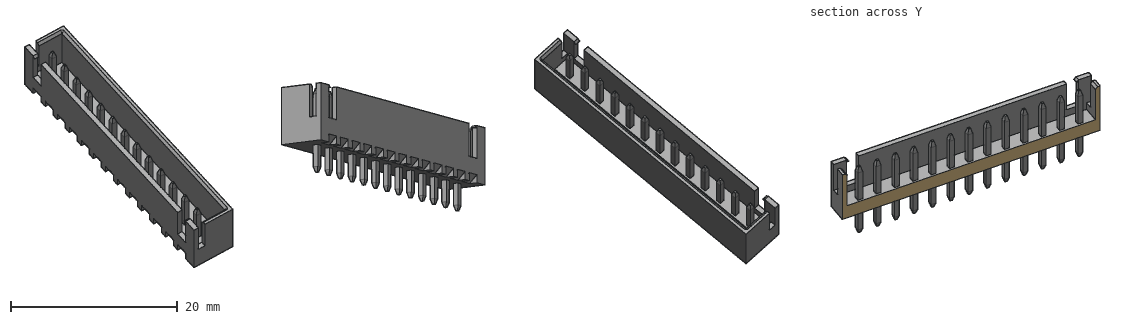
import cadquery as cq


length = 35.1
depth = 5.7
height = 7.0
end_wall = 0.65
front_wall = 0.65
back_wall = 0.7
floor_height = 1.95
rim_chamfer = 0.3

recess_depth = 0.65
recess_slope_run = 0.25
recess_from_back = 2.55

slot_depth = 4.0
front_slot_width = 1.65
end_slot_width = 0.95

nub_reach = 0.3
nub_height = 0.28

relief_height = 1.0
relief_width = 1.6
relief_run = 1.05

pin_count = 13
end_pin_inset = 2.55
pin_side = 0.65
pin_from_back = 3.4
pin_bottom = -3.3
pin_top = 6.9
bottom_taper = 0.63
top_taper = 0.7
tip_side = 0.28

end_x = length / 2
front_y = -depth / 2
back_y = depth / 2
cavity_x = end_x - end_wall
cavity_front_y = front_y + front_wall
cavity_back_y = back_y - back_wall
slot_floor_z = height - slot_depth
pin_y = back_y - pin_from_back
pitch = (length - 2 * end_pin_inset) / (pin_count - 1)
pin_xs = [-end_x + end_pin_inset + i * pitch for i in range(pin_count)]


def box(x0, x1, y0, y1, z0, z1):
    """Box between two opposite corners."""
    block = cq.Workplane("XY").box(x1 - x0, y1 - y0, z1 - z0, centered=False)
    return block.translate((x0, y0, z0))


def extrude_along_x(outline, width, x_center):
    """Extrude a (y, z) outline along X, centred on x_center."""
    solid = cq.Workplane("YZ").polyline(outline).close().extrude(width / 2, both=True)
    return solid.translate((x_center, 0, 0))


def make_cavity():
    return box(-cavity_x, cavity_x, cavity_front_y, cavity_back_y, floor_height, height)


def make_floor_recess():
    slope_bottom_y = back_y - recess_from_back
    recess_z = floor_height - recess_depth
    outline = [
        (slope_bottom_y - recess_slope_run, floor_height),
        (slope_bottom_y, recess_z),
        (cavity_back_y, recess_z),
        (cavity_back_y, floor_height),
    ]
    return extrude_along_x(outline, 2 * cavity_x, 0)


def make_rim_lead_in():
    """45 degree lead-in along the back and end walls; the front wall stays square."""
    flare = (
        cq.Workplane("XY", origin=(0, (cavity_front_y + cavity_back_y) / 2, height - rim_chamfer))
        .rect(2 * cavity_x, cavity_back_y - cavity_front_y)
        .extrude(rim_chamfer, taper=-45)
    )
    return flare.intersect(box(-end_x, end_x, cavity_front_y, back_y, 0, height))


def make_front_slot(x):
    half = front_slot_width / 2
    return box(x - half, x + half, front_y, cavity_front_y, slot_floor_z, height)


def make_end_slot(x0, x1):
    return box(x0, x1, cavity_front_y, cavity_front_y + end_slot_width, slot_floor_z, height)


def make_nub(slot_x, inward):
    """Nub on the outer side of a front slot; inward is the X direction towards mid-length."""
    post_x = slot_x - inward * front_slot_width / 2
    outline = [
        (post_x, height),
        (post_x + inward * nub_reach, height - nub_height),
        (post_x, height - nub_height),
    ]
    nub = cq.Workplane("XZ", origin=(0, front_y, 0)).polyline(outline).close()
    return nub.extrude(-front_wall)


def make_relief(x):
    outline = [(front_y, 0), (front_y, relief_height), (front_y + relief_run, 0)]
    return extrude_along_x(outline, relief_width, x)


def make_taper(z0, side0, z1, side1):
    """Square frustum between two heights."""
    return (
        cq.Workplane("XY", origin=(0, 0, z0))
        .rect(side0, side0)
        .workplane(offset=z1 - z0)
        .rect(side1, side1)
        .loft()
    )


def make_pin():
    half = pin_side / 2
    shank_bottom = pin_bottom + bottom_taper
    shank_top = pin_top - top_taper
    shank = box(-half, half, -half, half, shank_bottom, shank_top)
    bottom_tip = make_taper(pin_bottom, tip_side, shank_bottom, pin_side)
    top_tip = make_taper(shank_top, pin_side, pin_top, tip_side)
    return shank.union(bottom_tip).union(top_tip)


body = box(-end_x, end_x, front_y, back_y, 0, height)
body = body.cut(make_cavity())
body = body.cut(make_floor_recess())
body = body.cut(make_rim_lead_in())

body = body.cut(make_end_slot(-end_x, -cavity_x))
body = body.cut(make_end_slot(cavity_x, end_x))
for slot_x, inward in ((pin_xs[0], 1), (pin_xs[-1], -1)):
    body = body.cut(make_front_slot(slot_x))
    body = body.union(make_nub(slot_x, inward))

pin = make_pin()
for x in pin_xs:
    body = body.cut(make_relief(x))
for x in pin_xs:
    body = body.union(pin.translate((x, pin_y, 0)))

result = body